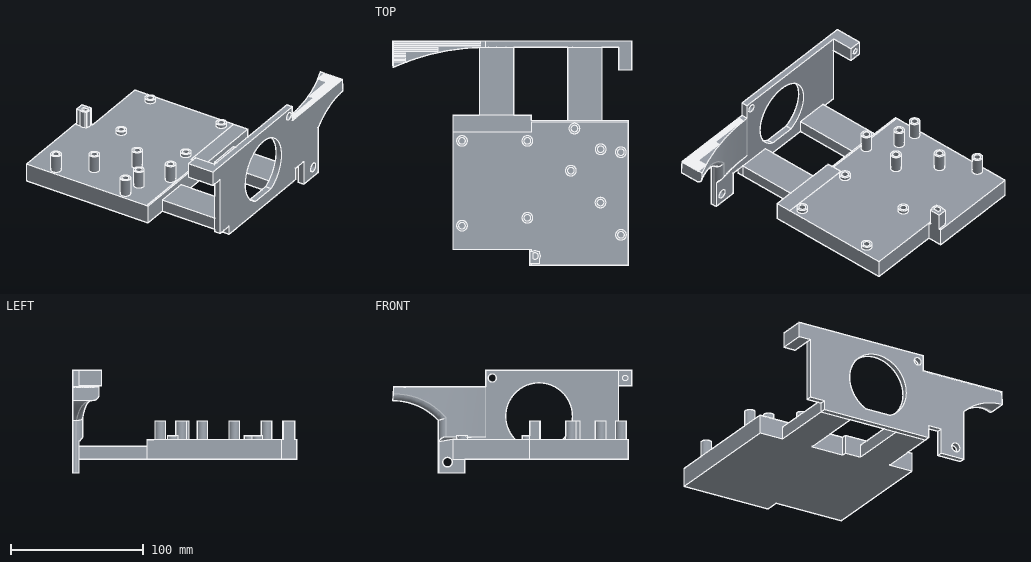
import cadquery as cq
import math


wall_left = 70.0
wall_right = 170.0
wall_thickness = 5.0
wall_top = 77.5
wall_bottom = 17.5
wall_front = -wall_thickness

lug_width = 10.0
lug_height = 12.0
lug_reach = 22.0
lug_hole_diameter = 4.1
lug_hole_depth = 10.0
screw_row_drop = 6.0
wall_screw_inset = 5.0
wall_screw_diameter = 6.0

wing_top = 65.0
wing_reach = 20.0
wing_tip_slant = 0.7
wing_tip_bottom = 54.4
wing_under_radius = 47.3
wing_bottom = 27.3
wing_edge_fillet = 5.0
tab_left = 34.3
tab_width = 20.0
tab_hole_diameter = 7.0
tab_hole_inset = 7.0
tab_hole_height = 8.2

groove_width = 1.0
groove_pitch = 2.0
groove_depth = 0.5
groove_groups = [(2, 66.0), (2, 34.0), (4, 9.8)]

base_bottom = 10.2
base_thickness = 15.0
base_left = 45.4
base_right = 177.4
base_back_left = -56.0
base_back_right = -59.9
base_front_left = -157.2
base_front_right = -168.9
base_back_step = 104.4
base_front_step = 103.0
base_top = base_bottom + base_thickness

deck_rise = 0.1
deck_back_left = -68.6
deck_back_right = -61.2

arm_thickness = 10.0
arm_width = 26.0
arm_lefts = [65.2, 131.6]
arm_top = base_bottom + arm_thickness

opening_diameter = 50.0
opening_x = 110.2
opening_z = 42.8

standoff_diameter = 8.0
standoff_bore = 5.0
bore_depth = 5.0
short_height = 3.0
tall_height = 14.0
short_standoffs = [(52.2, -75.3), (101.4, -75.3), (101.4, -133.2), (52.2, -139.1)]
tall_standoffs = [
    (136.8, -66.0),
    (156.5, -81.6),
    (171.7, -83.8),
    (134.1, -97.7),
    (156.4, -121.7),
    (171.8, -146.0),
]

post_x = 107.1
post_y = -161.9
post_right = 110.4
post_back = -158.6
post_front = -167.4
post_side_wall = 2.7


def block(x_range, y_range, z_range):
    size = [high - low for low, high in (x_range, y_range, z_range)]
    return cq.Workplane("XY").box(*size, centered=False).translate((x_range[0], y_range[0], z_range[0]))


def rod_along_z(x, y, bottom, height, diameter):
    return cq.Workplane("XY", origin=(x, y, bottom)).circle(diameter / 2).extrude(height)


def rod_along_y(x, z, front, length, diameter):
    return cq.Workplane("XZ", origin=(x, front + length, z)).circle(diameter / 2).extrude(length)


def make_wing():
    """Wing and tab: one outline, hollowed in front by a large arc that runs out into the wall."""

    def under_point(x):
        drop = wing_under_radius - math.sqrt(wing_under_radius**2 - x**2)
        return (x, wing_tip_bottom - drop)

    tab_right = tab_left + tab_width
    wing = (
        cq.Workplane("XZ")
        .moveTo(wing_tip_slant, wing_top)
        .lineTo(wall_left, wing_top)
        .lineTo(wall_left, arm_top)
        .lineTo(tab_right, arm_top)
        .lineTo(tab_right, 0)
        .lineTo(tab_left, 0)
        .lineTo(*under_point(tab_left))
        .threePointArc(under_point(tab_left / 2), under_point(0))
        .close()
        .extrude(wing_reach)
    )

    tip_depth = wing_reach - wall_thickness
    sweep_length = wall_left - wing_tip_slant
    sweep_radius = (sweep_length**2 + tip_depth**2) / (2 * tip_depth)
    sweep_centre_y = wall_front - sweep_radius
    wing = wing.cut(rod_along_z(wall_left, sweep_centre_y, 0, wing_top, 2 * sweep_radius))

    def front_y(x):
        return sweep_centre_y + math.sqrt(sweep_radius**2 - (wall_left - x) ** 2)

    under_x, under_z = under_point(tab_left / 2)
    under_edge = cq.selectors.NearestToPointSelector((under_x, front_y(under_x), under_z))
    tab_edge_z = under_point(tab_left)[1] / 2
    tab_edge = cq.selectors.NearestToPointSelector((tab_left, front_y(tab_left), tab_edge_z))
    wing = wing.edges(under_edge + tab_edge).fillet(wing_edge_fillet)

    relief = cq.Workplane(
        cq.Solid.makeCone(sweep_radius + wing_bottom, sweep_radius, wing_bottom)
    ).translate((wall_left, sweep_centre_y, 0))
    in_front = block((0, wall_left), (-2 * wing_reach, wall_front), (0, wing_bottom))
    wing = wing.cut(relief.intersect(in_front))

    tab_hole = rod_along_y(
        tab_left + tab_hole_inset, tab_hole_height, -wing_reach, wing_reach, tab_hole_diameter
    )
    return wing.cut(tab_hole)


def make_grooves():
    grooves = cq.Workplane("XY")
    back = -groove_width
    for count, end in groove_groups:
        for _ in range(count):
            grooves = grooves.add(
                block((0, end), (back - groove_width, back), (wing_top - groove_depth, wing_top))
            )
            back -= groove_pitch
    return grooves.combine()


def make_bracket():
    """Wall with its round opening, the lug, the wing with its tab, and the foot that the arms meet."""
    wall = block((wall_left, wall_right), (wall_front, 0), (wall_bottom, wall_top))
    foot_right = arm_lefts[-1] + arm_width
    foot = block((arm_lefts[0], foot_right), (wall_front, 0), (base_bottom, arm_top))
    lug = block(
        (wall_right, wall_right + lug_width), (-lug_reach, 0), (wall_top - lug_height, wall_top)
    )
    screw_z = wall_top - screw_row_drop
    opening = rod_along_y(opening_x, opening_z, wall_front, wall_thickness, opening_diameter)
    wall_screw = rod_along_y(
        wall_left + wall_screw_inset, screw_z, wall_front, wall_thickness, wall_screw_diameter
    )
    lug_hole = rod_along_y(
        wall_right + lug_width / 2, screw_z, -lug_reach, lug_hole_depth, lug_hole_diameter
    )
    wing = make_wing().cut(make_grooves())
    return wall.cut(opening).cut(wall_screw).union(foot).union(lug).union(wing).cut(lug_hole)


def make_standoffs(places, height):
    standoffs = cq.Workplane("XY").workplane(offset=base_bottom)
    return standoffs.pushPoints(places).circle(standoff_diameter / 2).extrude(base_thickness + height)


def make_bores(places, height):
    bores = cq.Workplane("XY").workplane(offset=base_top + height - bore_depth)
    return bores.pushPoints(places).circle(standoff_bore / 2).extrude(bore_depth)


def make_post():
    """Standoff merged with square sides; its bore is flattened to leave a full wall on the left."""
    post_top = base_top + tall_height
    sides = block((base_front_step, post_right), (post_front, post_back), (base_bottom, post_top))
    round_back = rod_along_z(post_x, post_y, base_bottom, post_top - base_bottom, standoff_diameter)
    clear_of_wall = block(
        (base_front_step + post_side_wall, post_right), (post_front, post_back), (base_bottom, post_top)
    )
    bore = rod_along_z(post_x, post_y, post_top - bore_depth, bore_depth, standoff_bore)
    return sides.union(round_back).cut(bore.intersect(clear_of_wall))


def make_base():
    """Stepped plate with a raised deck, two arms reaching to the wall, standoffs and the post."""
    plate = (
        cq.Workplane("XY", origin=(0, 0, base_bottom))
        .moveTo(base_left, base_back_left)
        .lineTo(base_back_step, base_back_left)
        .lineTo(base_back_step, base_back_right)
        .lineTo(base_right, base_back_right)
        .lineTo(base_right, base_front_right)
        .lineTo(base_front_step, base_front_right)
        .lineTo(base_front_step, base_front_left)
        .lineTo(base_left, base_front_left)
        .close()
        .extrude(base_thickness)
    )
    deck_z = (base_bottom, base_top + deck_rise)
    plate = plate.union(block((base_left, base_back_step), (base_front_left, deck_back_left), deck_z))
    plate = plate.union(block((base_back_step, base_right), (base_front_right, deck_back_right), deck_z))
    for left in arm_lefts:
        arm_run = (deck_back_left, wall_front)
        plate = plate.union(block((left, left + arm_width), arm_run, (base_bottom, arm_top)))

    plate = plate.union(make_standoffs(short_standoffs, short_height))
    plate = plate.union(make_standoffs(tall_standoffs, tall_height))
    plate = plate.cut(make_bores(short_standoffs, short_height))
    plate = plate.cut(make_bores(tall_standoffs, tall_height))
    return plate.union(make_post())


bracket = make_bracket()
base = make_base()
result = cq.Compound.makeCompound([bracket.val(), base.val()])